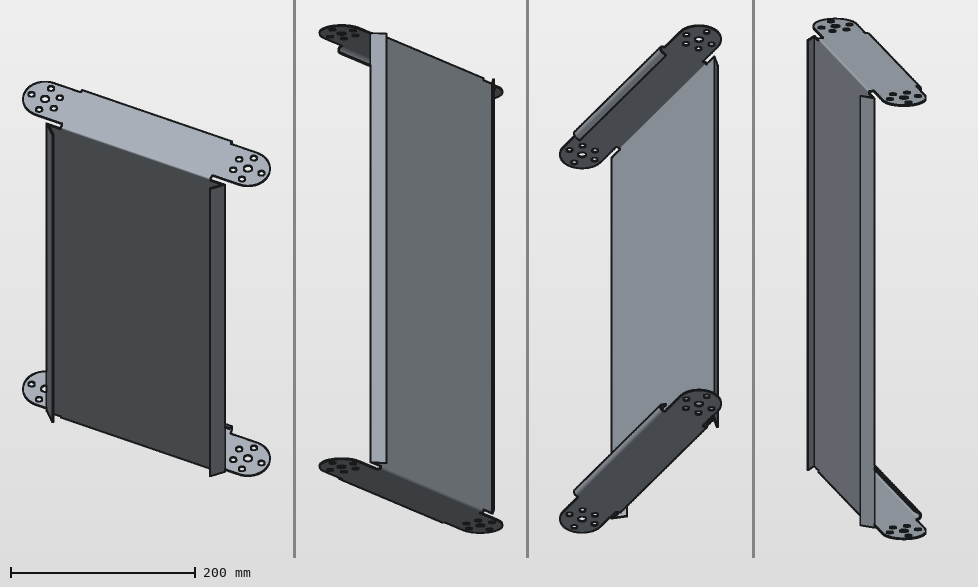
import cadquery as cq
import math

height = 500.0
half_height = height / 2
thickness = 1.5
front_y = -30.0
back_y = 30.0
fold_width = 177.0

panel_width = 211.5
panel_height = 494.0
flange_depth = 11.0
flange_angle = math.radians(45)

fold_radius = 2.0
lip_radius = 5.0
lip_turn = math.radians(150)
lip_length = 5.5

lobe_radius = 24.0
lobe_center_x = 120.0
center_hole_diameter = 9.0
small_hole_diameter = 7.0
hole_circle_radius = 16.0
hole_angles = (-90, -30, 30, 90, 180)
corner_radius = back_y - lip_radius - lobe_radius


def make_panel():
    """Front panel and its V-shaped edge flanges, extruded along Z."""
    half = panel_width / 2
    inner_y = front_y + thickness
    tip_y = front_y - flange_depth
    tip_x = half - (inner_y - tip_y) / math.tan(flange_angle)
    tip_step_x = thickness * math.sin(flange_angle)
    tip_step_y = thickness * math.cos(flange_angle)
    inside_corner_x = half - thickness / math.tan(flange_angle / 2)
    right_side = [
        (0, inner_y),
        (half, inner_y),
        (tip_x, tip_y),
        (tip_x - tip_step_x, tip_y + tip_step_y),
        (inside_corner_x, front_y),
        (0, front_y),
    ]
    profile = cq.Workplane("XY", origin=(0, 0, -panel_height / 2)).polyline(right_side).close()
    half_panel = profile.extrude(panel_height)
    return half_panel.union(half_panel.mirror("YZ"))


def make_fold():
    """Upper half of the panel middle, folded into the end plate and the rear lip."""
    fold_y = front_y + fold_radius
    fold_z = half_height - fold_radius
    fold_inner = fold_radius - thickness
    lip_y = back_y - lip_radius
    lip_z = half_height - lip_radius
    lip_inner = lip_radius - thickness
    end_angle = math.pi / 2 - lip_turn
    half_angle = math.pi / 2 - lip_turn / 2
    diagonal = 3 * math.pi / 4

    def on_fold(radius, angle):
        return (fold_y + radius * math.cos(angle), fold_z + radius * math.sin(angle))

    def on_lip(radius, angle):
        return (lip_y + radius * math.cos(angle), lip_z + radius * math.sin(angle))

    def lip_tip(radius):
        y, z = on_lip(radius, end_angle)
        return (y + lip_length * math.sin(end_angle), z - lip_length * math.cos(end_angle))

    return (
        cq.Workplane("YZ", origin=(-fold_width / 2, 0, 0))
        .moveTo(front_y, 0)
        .lineTo(front_y, fold_z)
        .threePointArc(on_fold(fold_radius, diagonal), (fold_y, half_height))
        .lineTo(lip_y, half_height)
        .threePointArc(on_lip(lip_radius, half_angle), on_lip(lip_radius, end_angle))
        .lineTo(*lip_tip(lip_radius))
        .lineTo(*lip_tip(lip_inner))
        .lineTo(*on_lip(lip_inner, end_angle))
        .threePointArc(on_lip(lip_inner, half_angle), (lip_y, half_height - thickness))
        .lineTo(fold_y, half_height - thickness)
        .threePointArc(on_fold(fold_inner, diagonal), (front_y + thickness, fold_z))
        .lineTo(front_y + thickness, 0)
        .close()
        .extrude(fold_width)
    )


def make_end_plate():
    """Upper end plate with round ends and a hole group at each end."""
    small_holes = []
    for angle in map(math.radians, hole_angles):
        x = -lobe_center_x + hole_circle_radius * math.cos(angle)
        y = hole_circle_radius * math.sin(angle)
        small_holes += [(x, y), (-x, y)]
    plate = (
        cq.Workplane("XY", origin=(0, 0, half_height - thickness))
        .slot2D(2 * (lobe_center_x + lobe_radius), 2 * lobe_radius)
        .extrude(thickness)
    )
    return (
        plate.faces(">Z")
        .workplane(origin=(0, 0, half_height))
        .pushPoints(small_holes)
        .hole(small_hole_diameter)
        .pushPoints([(-lobe_center_x, 0), (lobe_center_x, 0)])
        .hole(center_hole_diameter)
    )


def make_corner_web():
    """Web with a concave round edge, filling one inside corner of the upper end plate."""
    corner_x = fold_width / 2
    mid = corner_radius * (1 - math.sqrt(0.5))
    return (
        cq.Workplane("XY", origin=(0, 0, half_height - thickness))
        .moveTo(corner_x, lobe_radius)
        .lineTo(corner_x + corner_radius, lobe_radius)
        .threePointArc((corner_x + mid, lobe_radius + mid), (corner_x, lobe_radius + corner_radius))
        .close()
        .extrude(thickness)
    )


upper_half = make_fold().union(make_end_plate())
corner_web = make_corner_web()
for turned_web in (corner_web, corner_web.mirror("XZ")):
    upper_half = upper_half.union(turned_web).union(turned_web.mirror("YZ"))
result = make_panel().union(upper_half).union(upper_half.mirror("XY"))